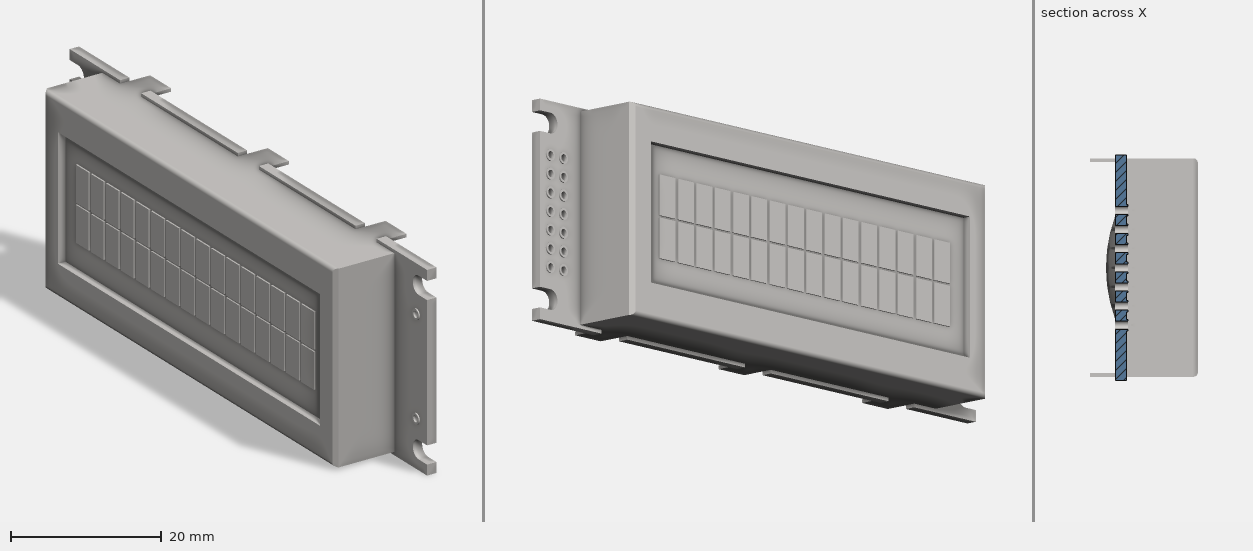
import cadquery as cq
import math


board_length = 85.0
board_height = 30.0
board_thickness = 1.5

slot_width = 2.8
slot_depth = 3.4
slot_height = 12.0

bezel_length = 69.4
bezel_height = 29.0
bezel_depth = 9.5
bezel_round = 0.6
bezel_chamfer = 0.6

window_length = 62.3
window_height = 19.2
window_depth = 1.2
cell_columns = 16
cell_rows = 2
cell_width = 3.05
cell_height = 5.55
cell_pitch_x = 3.57
cell_pitch_z = 5.85
cell_relief = 0.25

tab_width = 5.0
tab_thickness = 0.5
tab_projection = 3.3
tab_pitch = 28.0

pad_pitch = 2.54
pad_diameter = 1.6
pad_thickness = 0.2
pad_hole_diameter = 1.0
pad_rows = 7
left_pad_x = -40.6
right_pad_x = 40.0

dome_diameter = 13.6
dome_height = 1.2
dome_first_x = -14.85
dome_spacing = 22.0


def box(x, z, length, height, y_start, y_end):
    """Block centred on (x, z) that runs from y_start to y_end."""
    return cq.Workplane("XY").box(length, y_end - y_start, height).translate((x, (y_start + y_end) / 2, z))


def rod(x, z, diameter, y_start, y_end):
    """Cylinder along Y, centred on (x, z)."""
    plane = cq.Workplane("XZ", origin=(x, y_end, z))
    return plane.circle(diameter / 2).extrude(y_end - y_start)


def make_board():
    board = box(0, 0, board_length, board_height, 0, board_thickness)
    slot_centre_x = board_length / 2 - slot_depth + slot_width / 2
    for z in (-slot_height, slot_height):
        for side in (-1, 1):
            board = board.cut(rod(side * slot_centre_x, z, slot_width, 0, board_thickness))
            mouth_x = side * (slot_centre_x + slot_depth / 2)
            board = board.cut(box(mouth_x, z, slot_depth, slot_width, 0, board_thickness))
    return board


def make_bezel():
    rounded = box(0, 0, bezel_length, bezel_height, -bezel_depth, 0)
    rounded = rounded.faces("<Y").edges("|X").fillet(bezel_round)
    chamfered = box(0, 0, bezel_length, bezel_height, -bezel_depth, 0)
    chamfered = chamfered.faces("<Y").edges("|Z").chamfer(bezel_chamfer)
    bezel = rounded.intersect(chamfered)
    window_floor = window_depth - bezel_depth
    bezel = bezel.cut(box(0, 0, window_length, window_height, -bezel_depth, window_floor))
    for column in range(cell_columns):
        x = (column - (cell_columns - 1) / 2) * cell_pitch_x
        for row in range(cell_rows):
            z = (row - (cell_rows - 1) / 2) * cell_pitch_z
            cell = box(x, z, cell_width, cell_height, window_floor - cell_relief, window_floor)
            bezel = bezel.union(cell)
    return bezel


def add_tabs(body):
    notch_depth = (board_height - bezel_height) / 2
    notch_z = (board_height - notch_depth) / 2
    tab_z = (bezel_height - tab_thickness) / 2
    tab_end = board_thickness + tab_projection
    for index in (-1, 0, 1):
        x = index * tab_pitch
        for side in (-1, 1):
            body = body.cut(box(x, side * notch_z, tab_width, notch_depth, 0, board_thickness))
            body = body.union(box(x, side * tab_z, tab_width, tab_thickness, 0, tab_end))
    return body


def add_pads(body):
    pad_heights = [(row - (pad_rows - 1) / 2) * pad_pitch for row in range(pad_rows)]
    places = [(x, z) for x in (left_pad_x, left_pad_x + pad_pitch) for z in pad_heights]
    places += [(right_pad_x, pad_heights[0]), (right_pad_x, pad_heights[-1])]
    for x, z in places:
        body = body.union(rod(x, z, pad_diameter, -pad_thickness, 0))
        body = body.cut(rod(x, z, pad_hole_diameter, -pad_thickness, board_thickness))
    return body


def make_dome(x):
    """Spherical cap on the back of the board, revolved about its Y axis."""
    radius = dome_diameter / 2
    sphere_radius = (radius**2 + dome_height**2) / (2 * dome_height)
    half_angle = math.asin(radius / sphere_radius) / 2
    apex_y = board_thickness + dome_height
    mid_point = (
        sphere_radius * math.sin(half_angle),
        apex_y - sphere_radius * (1 - math.cos(half_angle)),
    )
    profile = cq.Workplane("XY").moveTo(0, board_thickness).lineTo(radius, board_thickness)
    profile = profile.threePointArc(mid_point, (0, apex_y)).close()
    return profile.revolve(360, (0, 0), (0, 1)).translate((x, 0, 0))


result = make_board().union(make_bezel())
result = add_tabs(result)
result = add_pads(result)
for dome_x in (dome_first_x, dome_first_x + dome_spacing):
    result = result.union(make_dome(dome_x))